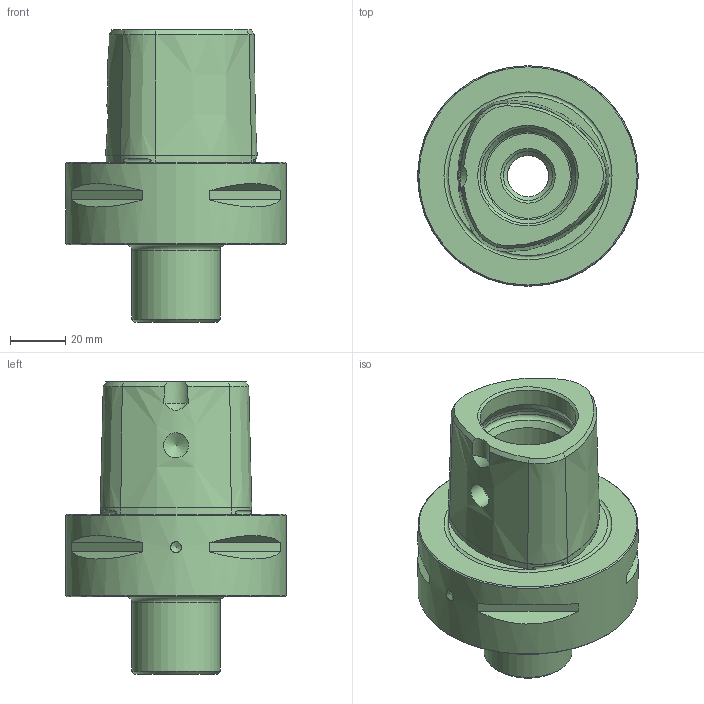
import cadquery as cq
import math

shank_length = 48.0
flange_thickness = 30.0
spigot_length = 28.0
flange_bottom = -flange_thickness
spigot_bottom = flange_bottom - spigot_length

flange_diameter = 80.0
flange_edge_chamfer = 0.4
spigot_diameter = 32.0
spigot_root_fillet = 2.0
spigot_end_chamfer = 1.1

neck_root = -10.0
shank_mean_diameter = 55.0
lobe_eccentricity = 1.95
lobe_count = 3
taper_slope = 1 / 40
neck_height = 2.4
neck_inset = 0.15
shank_chamfer_height = 1.7
shank_chamfer_inset = 1.0

relief_ring_radius = 29.7
relief_section_radius = 1.0
relief_center_height = 0.6

mouth_radius = 17.4
mouth_chamfer = 0.85
groove_start_depth = 7.2
groove_cone_end_depth = 9.9
groove_cone_end_radius = 18.6
groove_radius = 38.0 / 2
groove_wall_start_depth = 11.4
groove_wall_end_depth = 12.7
groove_fillet = 1.5
lower_bore_radius = 32.0 / 2
lower_cone_end_depth = 16.6
bore_floor_depth = 32.0
bore_floor_fillet = 0.6
thread_chamfer_radius = 19.8 / 2
thread_bore_radius = 17.84 / 2
thread_bore_length = 25.0
through_bore_radius = 15.0 / 2

slot_count = 4
slot_first_angle = 45.0
slot_center_height = -12.0
slot_floor_height = 3.4
slot_floor_distance = 35.57
slot_wall_angle = 30.0
slot_overshoot = 1.0

side_hole_diameter = 9.1
side_hole_height = 25.0
side_hole_floor_x = -18.8
drill_tip_angle = 118.0
key_cone_angle = 90.0
key_radius = 5.4
key_inner_x = -22.1
key_wall_bottom = 40.2
dimple_diameter = 4.0
dimple_height = -12.0


def lobed_wire(height, inset):
    """Three corner arcs joined tangentially by three flat arcs, offset inwards by inset."""
    step = math.radians(360 / lobe_count)
    half_step = step / 2
    apex = shank_mean_diameter / 2 + lobe_eccentricity - inset
    flat = shank_mean_diameter / 2 - lobe_eccentricity - inset
    corner_center = (apex - flat) / (2 - math.sqrt(3))
    corner_radius = apex - corner_center

    def polar(radius, angle):
        return radius * math.cos(angle), radius * math.sin(angle)

    def tangent_point(corner, side):
        axis = corner * step
        center = polar(corner_center, axis)
        arm = polar(corner_radius, axis + side * half_step / 2)
        return center[0] + arm[0], center[1] + arm[1]

    outline = cq.Workplane("XY", origin=(0, 0, height)).moveTo(*tangent_point(0, -1))
    for corner in range(lobe_count):
        axis = corner * step
        outline = outline.threePointArc(polar(apex, axis), tangent_point(corner, 1))
        outline = outline.threePointArc(polar(flat, axis + half_step), tangent_point(corner + 1, -1))
    return outline.close().val()


def lobed_solid(bottom, bottom_inset, top, top_inset):
    wires = [lobed_wire(bottom, bottom_inset), lobed_wire(top, top_inset)]
    return cq.Workplane(cq.Solid.makeLoft(wires, True))


def revolve_profile(profile):
    """Revolve a closed (radius, height) outline about the Z axis."""
    return profile.close().revolve(360, (0, 0, 0), (0, 1, 0))


def make_shank():
    chamfer_start = shank_length - shank_chamfer_height
    taper_inset = taper_slope * (chamfer_start - neck_height)
    neck = lobed_solid(neck_root, neck_inset, neck_height, neck_inset)
    taper = lobed_solid(neck_height, 0, chamfer_start, taper_inset)
    end = lobed_solid(chamfer_start, taper_inset, shank_length, taper_inset + shank_chamfer_inset)
    return neck.union(taper).union(end)


def make_flange_and_spigot():
    flange_radius = flange_diameter / 2
    spigot_radius = spigot_diameter / 2
    diagonal = spigot_root_fillet * (1 - math.sqrt(0.5))
    profile = (
        cq.Workplane("XZ")
        .moveTo(0, 0)
        .lineTo(flange_radius - flange_edge_chamfer, 0)
        .lineTo(flange_radius, -flange_edge_chamfer)
        .lineTo(flange_radius, flange_bottom + flange_edge_chamfer)
        .lineTo(flange_radius - flange_edge_chamfer, flange_bottom)
        .lineTo(spigot_radius + spigot_root_fillet, flange_bottom)
        .threePointArc(
            (spigot_radius + diagonal, flange_bottom - diagonal),
            (spigot_radius, flange_bottom - spigot_root_fillet),
        )
        .lineTo(spigot_radius, spigot_bottom + spigot_end_chamfer)
        .lineTo(spigot_radius - spigot_end_chamfer, spigot_bottom)
        .lineTo(0, spigot_bottom)
    )
    return revolve_profile(profile)


def relief_groove():
    ring = cq.Solid.makeTorus(
        relief_ring_radius, relief_section_radius, cq.Vector(0, 0, relief_center_height)
    )
    return cq.Workplane(ring)


def bore():
    def level(depth):
        return shank_length - depth

    thread_start_depth = bore_floor_depth + thread_chamfer_radius - thread_bore_radius
    thread_end_depth = thread_start_depth + thread_bore_length
    step_cone_height = thread_bore_radius - through_bore_radius
    groove_foot_radius = groove_radius - groove_fillet
    fillet_diagonal = groove_fillet * (1 - math.sqrt(0.5))
    groove_foot_depth = groove_wall_end_depth + groove_fillet
    profile = (
        cq.Workplane("XZ")
        .moveTo(0, level(0))
        .lineTo(mouth_radius + mouth_chamfer, level(0))
        .lineTo(mouth_radius, level(mouth_chamfer))
        .lineTo(mouth_radius, level(groove_start_depth))
        .lineTo(groove_cone_end_radius, level(groove_cone_end_depth))
        .tangentArcPoint((groove_radius, level(groove_wall_start_depth)), relative=False)
        .lineTo(groove_radius, level(groove_wall_end_depth))
        .threePointArc(
            (groove_radius - fillet_diagonal, level(groove_foot_depth - fillet_diagonal)),
            (groove_foot_radius, level(groove_foot_depth)),
        )
        .lineTo(lower_bore_radius, level(lower_cone_end_depth))
        .lineTo(lower_bore_radius, level(bore_floor_depth - bore_floor_fillet))
        .tangentArcPoint(
            (lower_bore_radius - bore_floor_fillet, level(bore_floor_depth)), relative=False
        )
        .lineTo(thread_chamfer_radius, level(bore_floor_depth))
        .lineTo(thread_bore_radius, level(thread_start_depth))
        .lineTo(thread_bore_radius, level(thread_end_depth))
        .lineTo(through_bore_radius, level(thread_end_depth + step_cone_height))
        .lineTo(through_bore_radius, spigot_bottom)
        .lineTo(0, spigot_bottom)
    )
    return revolve_profile(profile)


def gripper_slot(angle):
    """Trapezoidal slot that widens outwards from a flat floor."""
    outer_distance = flange_diameter / 2 + slot_overshoot
    half_floor = slot_floor_height / 2
    flare = (outer_distance - slot_floor_distance) * math.tan(math.radians(slot_wall_angle))
    half_mouth = half_floor + flare
    return (
        cq.Workplane("XZ")
        .moveTo(slot_floor_distance, slot_center_height - half_floor)
        .lineTo(outer_distance, slot_center_height - half_mouth)
        .lineTo(outer_distance, slot_center_height + half_mouth)
        .lineTo(slot_floor_distance, slot_center_height + half_floor)
        .close()
        .extrude(flange_diameter / 2, both=True)
        .rotate((0, 0, 0), (0, 0, 1), angle)
    )


def tip_height(radius, point_angle):
    return radius / math.tan(math.radians(point_angle / 2))


def cone_along_x(radius, point_angle, base_x, height):
    """Cone with its base at base_x and its point towards +X."""
    base = cq.Vector(base_x, 0, height)
    length = tip_height(radius, point_angle)
    return cq.Workplane(cq.Solid.makeCone(radius, 0, length, base, cq.Vector(1, 0, 0)))


def side_hole():
    """Blind drilled hole from the -X side of the shank."""
    radius = side_hole_diameter / 2
    length = flange_diameter / 2 + side_hole_floor_x
    floor_plane = cq.Workplane("YZ", origin=(side_hole_floor_x, 0, side_hole_height))
    straight = floor_plane.circle(radius).extrude(-length)
    tip = cone_along_x(radius, drill_tip_angle, side_hole_floor_x, side_hole_height)
    return straight.union(tip)


def key_groove():
    """Vertical round groove open at the shank top, ending in a cone."""
    cone_height = tip_height(key_radius, key_cone_angle)
    profile = (
        cq.Workplane("XZ")
        .moveTo(0, shank_length)
        .lineTo(key_radius, shank_length)
        .lineTo(key_radius, key_wall_bottom)
        .lineTo(0, key_wall_bottom - cone_height)
    )
    return revolve_profile(profile).translate((key_inner_x - key_radius, 0, 0))


def dimple():
    """Conical centre mark in the flange rim."""
    return cone_along_x(dimple_diameter / 2, drill_tip_angle, -flange_diameter / 2, dimple_height)


result = make_flange_and_spigot().union(make_shank())
result = result.cut(relief_groove()).cut(bore())
for index in range(slot_count):
    result = result.cut(gripper_slot(slot_first_angle + index * 360 / slot_count))
result = result.cut(side_hole()).cut(key_groove()).cut(dimple())